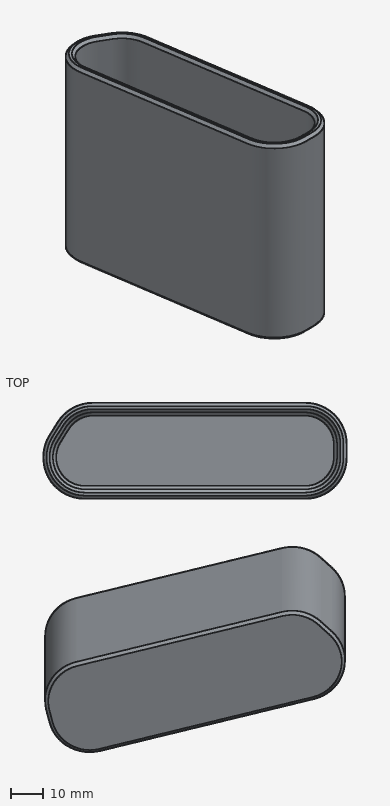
import cadquery as cq
import math

LENGTH = 94.8
WIDTH = 30.0
HEIGHT = 70.0

CORNER_RADIUS = 13.0
SLANT_SHIFT = 2.6
WALL = 3.0
FLOOR = 3.0
CHAMFER = 1.0


LEFT_X = CORNER_RADIUS - LENGTH / 2
RIGHT_X = LENGTH / 2 - CORNER_RADIUS
BACK_Y = WIDTH / 2 - CORNER_RADIUS
FRONT_Y = -BACK_Y

SLANT_ANGLE = 90 + math.degrees(math.atan2(BACK_Y - FRONT_Y, SLANT_SHIFT))

CORNERS = [
    ((RIGHT_X, FRONT_Y), -90, 0),
    ((RIGHT_X, BACK_Y), 0, 90),
    ((LEFT_X + SLANT_SHIFT, BACK_Y), 90, SLANT_ANGLE),
    ((LEFT_X, FRONT_Y), SLANT_ANGLE, 270),
]


def arc_point(centre, radius, angle):
    """Point on a circle at an angle in degrees."""
    turn = math.radians(angle)
    return (centre[0] + radius * math.cos(turn), centre[1] + radius * math.sin(turn))


def prism(inset, bottom, height):
    """Prism with the cup's outline, offset inwards by inset."""
    radius = CORNER_RADIUS - inset
    last_centre, _, last_angle = CORNERS[-1]
    outline = cq.Workplane("XY", origin=(0, 0, bottom)).moveTo(*arc_point(last_centre, radius, last_angle))
    for centre, start, end in CORNERS:
        middle = (start + end) / 2
        outline = outline.lineTo(*arc_point(centre, radius, start))
        outline = outline.threePointArc(arc_point(centre, radius, middle), arc_point(centre, radius, end))
    return outline.close().extrude(height)


body = prism(0, 0, HEIGHT).faces("<Z or >Z").edges().chamfer(CHAMFER)

cavity = prism(WALL, FLOOR, HEIGHT - FLOOR).faces("<Z").edges().chamfer(CHAMFER)

hollow = body.cut(cavity)
result = hollow.faces(">Z").wires(cq.selectors.AreaNthSelector(0)).edges().chamfer(CHAMFER)